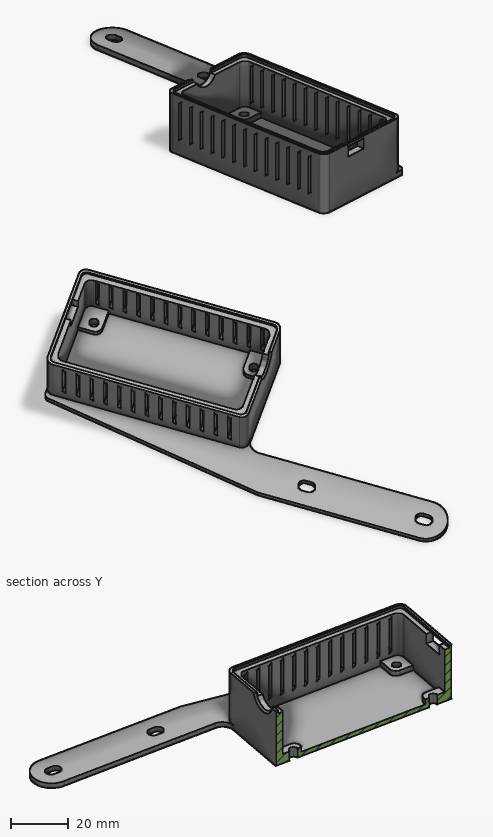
import cadquery as cq

total_length = 148
box_length = 73.0
box_width = 39.8
box_height = 23.0
wall = 3.0
floor = 2.0
box_corner_radius = 2.7
cavity_corner_radius = 2.5
box_left = total_length - box_length
box_center = (box_left + box_length / 2, box_width / 2)

lip_wall = 1.0
lip_depth = 1.0
lip_corner_radius = 1.9
ledge_z = box_height - lip_depth

pad_margin = 3.4
pad_corner_radius = 2.5
pad_height = 2.0
screw_hole_diameter = 3.3
screw_spacing_x = 58.0
screw_spacing_y = 22.8
screw_offset_x = -0.1
screw_offset_y = 0.6
screw_center = (box_center[0] + screw_offset_x, box_center[1] + screw_offset_y)

vent_count = 13
vent_row_length = 60.0
vent_pitch = vent_row_length / (vent_count - 1)
vent_width = 1.2
vent_height = 14.2
vent_end_rise = 0.9
vent_bottom_z = 6.2
vent_offset_x = -0.3
vent_center_x = box_center[0] + vent_offset_x

cable_notch_radius = 5.0
cable_notch_depth = 3.8
cable_notch_chamfer = 0.7
cable_notch_y = 17.2
window_width = 8.0
window_height = 4.0
window_y = 16.5

arm_width = 15.1
arm_thickness = floor
arm_top_y = box_width + arm_width
arm_bend_x = 66.2
arm_tail_width = 1.5
arm_tail_radius = 1.9
arm_fillet_radius = 4.6
arm_slot_length = 6.0
arm_slot_width = 4.1
arm_slot_xs = (8.3, 50.8)


def rounded_block(length, width, height, radius, bottom_z):
    """Block centred on the box with rounded vertical edges."""
    return (
        cq.Workplane("XY", origin=(*box_center, bottom_z))
        .rect(length, width)
        .extrude(height)
        .edges("|Z")
        .fillet(radius)
    )


def make_cavity():
    """Open cavity with a shallow, wider step at the top for the lid."""
    main = rounded_block(
        box_length - 2 * wall, box_width - 2 * wall, box_height, cavity_corner_radius, floor
    )
    lip = rounded_block(
        box_length - 2 * lip_wall, box_width - 2 * lip_wall, box_height, lip_corner_radius, ledge_z
    )
    return main.union(lip)


def make_pads():
    """Screw pads that run from the cavity corners to just past the holes, rounded towards the middle."""
    reach_x = screw_spacing_x / 2 - pad_margin
    reach_y = screw_spacing_y / 2 - pad_margin
    corner_blank = rounded_block(
        box_length - 2 * wall, box_width - 2 * wall, pad_height, cavity_corner_radius, floor
    )
    pads = cq.Workplane("XY")
    for side_x in (-1, 1):
        for side_y in (-1, 1):
            pad = (
                cq.Workplane("XY", origin=(*screw_center, floor))
                .moveTo(side_x * reach_x, side_y * reach_y)
                .lineTo(side_x * box_length, side_y * reach_y)
                .lineTo(side_x * box_length, side_y * box_width)
                .lineTo(side_x * reach_x, side_y * box_width)
                .close()
                .extrude(pad_height)
                .edges(f"|Z and {'<' if side_x > 0 else '>'}X and {'<' if side_y > 0 else '>'}Y")
                .fillet(pad_corner_radius)
            )
            pads = pads.union(pad)
    return pads.intersect(corner_blank)


def make_arm():
    """Flat arm with a round end that tapers along the back of the box."""
    end_radius = arm_width / 2
    arm_bottom_y = box_width
    mid_z = arm_thickness / 2
    inside_corner = cq.selectors.NearestToPointSelector((box_left, arm_bottom_y, mid_z))
    tail_corner = cq.selectors.NearestToPointSelector((total_length, box_width + arm_tail_width, mid_z))
    return (
        cq.Workplane("XY")
        .moveTo(end_radius, arm_top_y)
        .lineTo(arm_bend_x, arm_top_y)
        .lineTo(total_length, box_width + arm_tail_width)
        .lineTo(total_length, box_width / 2)
        .lineTo(box_left, box_width / 2)
        .lineTo(box_left, arm_bottom_y)
        .lineTo(end_radius, arm_bottom_y)
        .threePointArc((0, arm_bottom_y + end_radius), (end_radius, arm_top_y))
        .close()
        .extrude(arm_thickness)
        .edges(inside_corner)
        .fillet(arm_fillet_radius)
        .edges(tail_corner)
        .fillet(arm_tail_radius)
    )


def make_arm_slots():
    """Mounting slots along the centreline of the arm."""
    return (
        cq.Workplane("XY")
        .pushPoints([(x, box_width + arm_width / 2) for x in arm_slot_xs])
        .slot2D(arm_slot_length, arm_slot_width)
        .extrude(arm_thickness)
    )


def make_vents():
    """Row of narrow slots with sloping ends, through both long walls."""
    first_x = vent_center_x - vent_row_length / 2
    half_rise = vent_end_rise / 2
    vents = cq.Workplane("XY")
    for index in range(vent_count):
        vent = (
            cq.Workplane("XZ", origin=(first_x + index * vent_pitch, 0, vent_bottom_z))
            .moveTo(-vent_width / 2, -half_rise)
            .lineTo(vent_width / 2, half_rise)
            .lineTo(vent_width / 2, vent_height + half_rise)
            .lineTo(-vent_width / 2, vent_height - half_rise)
            .close()
            .extrude(-box_width)
        )
        vents = vents.add(vent)
    return vents.combine()


def make_screw_holes():
    """Screw holes through the pads and the floor."""
    return (
        cq.Workplane("XY", origin=(*screw_center, 0))
        .rarray(screw_spacing_x, screw_spacing_y, 2, 2)
        .circle(screw_hole_diameter / 2)
        .extrude(floor + pad_height)
    )


def make_cable_notch():
    """Round notch in the near short wall with a chamfered outer rim."""
    center_z = box_height - cable_notch_depth + cable_notch_radius
    plane = cq.Workplane("YZ", origin=(box_left, cable_notch_y, center_z))
    bore = plane.circle(cable_notch_radius).extrude(wall)
    rim = plane.circle(cable_notch_radius + cable_notch_chamfer).extrude(cable_notch_chamfer, taper=45)
    return bore.union(rim)


def make_window():
    """Window through the far short wall, ending just under the lip."""
    window = cq.Workplane("XY").box(wall, window_width, window_height, centered=(False, True, False))
    return window.translate((total_length - wall, window_y, ledge_z - window_height))


box = rounded_block(box_length, box_width, box_height, box_corner_radius, 0)
result = (
    box.union(make_arm())
    .cut(make_cavity())
    .union(make_pads())
    .cut(make_arm_slots())
    .cut(make_vents())
    .cut(make_screw_holes())
    .cut(make_cable_notch())
    .cut(make_window())
)